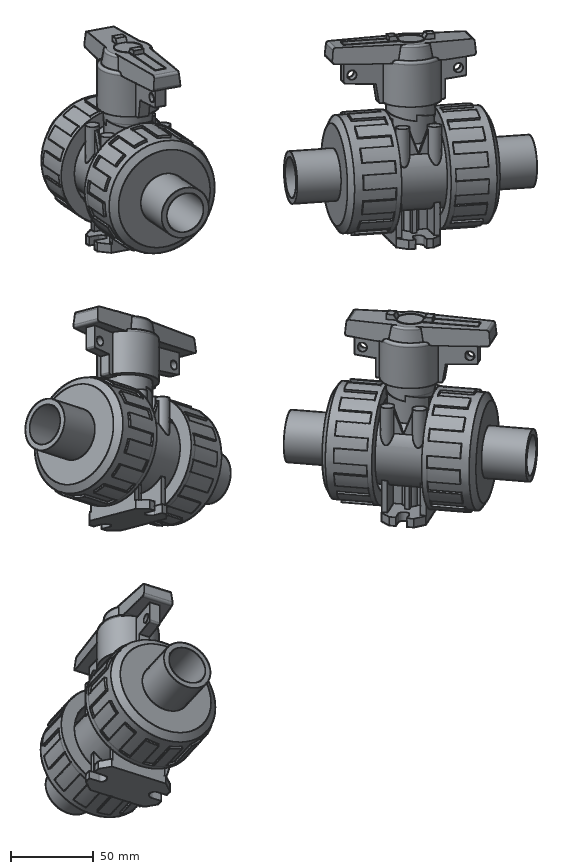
import cadquery as cq
import math


pipe_length = 151.0
pipe_radius = 16.2
bore_radius = 12.5

body_radius = 24.8
post_diameter = 8.6
post_spacing = 20.1
post_y = 19.2
post_top = 32.0
web_outer_y = 20.0
web_thickness = 2.1
notch_bottom = 14.5
notch_slope = 2.6

nut_inner_x = 15.5
nut_collar_x = 18.7
nut_grip_x = 39.4
nut_bevel_x = 44.8
nut_outer_x = 48.0
nut_radius = 37.8
groove_depth = 1.5
tooth_root_depth = 3.0
nut_face_radius = 31.4
nut_recess_radius = 28.7
nut_recess_depth = 24.2
tooth_count = 14
tooth_angle = 14.0
first_tooth_angle = 5.9

neck_radius = 14.8
neck_width = 26.1
collar_radius = 15.0
collar_bottom = 34.1
ramp_top = 37.9
collar_top = 57.4

hub_radius = 18.9
hub_bottom = 44.2
hub_top = 72.8
hub_round = 1.8
slot_width = 8.3
bar_bottom = 70.8
bar_end_bottom = 72.0
bar_top = 82.1
bar_left_x = -39.0
bar_right_x = 52.0
bar_middle_width = 26.6
bar_left_width = 20.4
bar_right_width = 18.9
bar_taper = 5.5
bar_end_round = 1.8
dome_bottom_radius = 16.3
dome_top_radius = 14.6
dome_round = 1.7
mark_height = 0.38
disc_diameter = 17.4
pointer_end_x = 43.0
pointer_width = 7.4
tab_span = 28.8
tab_inner_top_x = 9.7
tab_inner_base_x = 7.7
tab_top = 85.5

fin_width = 7.0
fin_left_x = -34.3
fin_right_x = 42.9
fin_end_z = 57.7
fin_left_step = (-21.0, 56.3)
fin_right_step = (22.6, 56.0)
fin_foot_right_x = 20.7
fin_bottom = 43.8
fin_round = 1.2
fin_hole_radius = 2.9
fin_hole_z = 62.8
fin_hole_xs = (-29.3, 37.8)

foot_bottom = -43.5
foot_top = -37.8
foot_half_x = 13.9
foot_half_y = 24.9
foot_chamfer = 6.2
foot_slot_radius = 3.5
foot_slot_y = 18.4
leg_thickness = 3.6
leg_half_y = 18.0
rib_thickness = 3.0
rib_half_y = 9.4
pillar_diameter = 9.8


def cylinder_x(radius, x_start, x_end):
    return cq.Workplane("YZ", origin=(x_start, 0, 0)).circle(radius).extrude(x_end - x_start)


def cylinder_z(radius, z_start, z_end):
    return cq.Workplane("XY", origin=(0, 0, z_start)).circle(radius).extrude(z_end - z_start)


def block(x_range, y_range, z_range):
    """Box between the given limits on each axis."""
    ranges = (x_range, y_range, z_range)
    sizes = [high - low for low, high in ranges]
    return cq.Workplane("XY").box(*sizes, centered=False).translate(tuple(low for low, high in ranges))


def plate_xz(points, width):
    """Plate with an XZ outline, centred on Y = 0."""
    return cq.Workplane("XZ").polyline(points).close().extrude(width / 2, both=True)


def make_nut():
    """Union nut on the +X side, with raised grip teeth and a recess around the body."""
    nut_groove_radius = nut_radius - groove_depth
    profile = [
        (nut_outer_x, 0),
        (nut_outer_x, nut_face_radius),
        (nut_bevel_x, nut_groove_radius),
        (nut_collar_x, nut_groove_radius),
        (nut_collar_x, nut_radius),
        (nut_inner_x, nut_radius),
        (nut_inner_x, 0),
    ]
    nut = cq.Workplane("XY").polyline(profile).close().revolve(360, (0, 0, 0), (1, 0, 0))

    def at(radius, angle):
        return (radius * math.cos(math.radians(angle)), radius * math.sin(math.radians(angle)))

    root_radius = nut_radius - tooth_root_depth
    half = tooth_angle / 2
    tooth = (
        cq.Workplane("YZ", origin=(nut_collar_x, 0, 0))
        .moveTo(*at(root_radius, -half))
        .lineTo(*at(nut_radius, -half))
        .threePointArc((nut_radius, 0), at(nut_radius, half))
        .lineTo(*at(root_radius, half))
        .close()
        .extrude(nut_grip_x - nut_collar_x)
    )
    for i in range(tooth_count):
        angle = first_tooth_angle + i * 360 / tooth_count
        nut = nut.union(tooth.rotate((0, 0, 0), (1, 0, 0), angle))
    recess = cylinder_x(nut_recess_radius, nut_inner_x, nut_inner_x + nut_recess_depth)
    return nut.cut(recess)


def make_posts():
    """Four posts on the body, each Y pair joined by a thin web with a V notch."""
    posts = (
        cq.Workplane("XY")
        .rect(post_spacing, 2 * post_y, forConstruction=True)
        .vertices()
        .circle(post_diameter / 2)
        .extrude(post_top)
    )
    web_inner_y = web_outer_y - web_thickness
    notch_half = (post_top - notch_bottom) / notch_slope
    notch = plate_xz(
        [(0, notch_bottom), (notch_half, post_top), (-notch_half, post_top)],
        3 * web_outer_y,
    )
    for y_range in ((web_inner_y, web_outer_y), (-web_outer_y, -web_inner_y)):
        web = block((-post_spacing / 2, post_spacing / 2), y_range, (0, post_top))
        posts = posts.union(web.cut(notch))
    return posts


def make_stem():
    neck = cylinder_z(neck_radius, 0, ramp_top)
    flats = block((-neck_width / 2, neck_width / 2), (-neck_radius, neck_radius), (0, collar_bottom))
    neck = neck.intersect(flats.union(cylinder_z(neck_radius, collar_bottom, ramp_top)))
    stem = neck.union(cylinder_z(collar_radius, ramp_top, collar_top))

    chord = collar_radius * math.sqrt(2)
    plane = cq.Plane(origin=(collar_radius, 0, 0), xDir=(-1, 1, 0), normal=(1, 1, 0))
    wedge = (
        cq.Workplane(plane)
        .polyline([(0, ramp_top), (chord, ramp_top), (chord, collar_bottom)])
        .close()
        .extrude(collar_radius, both=True)
    )
    quarter = block((0, collar_radius), (0, collar_radius), (collar_bottom, ramp_top))
    ramp = cylinder_z(collar_radius, collar_bottom, ramp_top).intersect(quarter).intersect(wedge)
    for i in range(4):
        stem = stem.union(ramp.rotate((0, 0, 0), (0, 0, 1), 90 * i))
    return stem


def make_fin():
    """Flat fin below the bar, stepped down beside the hub and pierced at both ends."""
    left_end = (fin_left_x, fin_end_z)
    right_end = (fin_right_x, fin_end_z)
    left_foot = (fin_left_step[0], fin_bottom)
    right_foot = (fin_foot_right_x, fin_bottom)
    outline = [
        (fin_left_x, bar_end_bottom),
        left_end,
        fin_left_step,
        left_foot,
        right_foot,
        fin_right_step,
        right_end,
        (fin_right_x, bar_end_bottom),
    ]
    fin = plate_xz(outline, fin_width)
    for x, z in (left_end, left_foot, right_foot, right_end):
        fin = fin.edges(cq.selectors.NearestToPointSelector((x, 0, z))).fillet(fin_round)
    holes = (
        cq.Workplane("XZ")
        .pushPoints([(x, fin_hole_z) for x in fin_hole_xs])
        .circle(fin_hole_radius)
        .extrude(fin_width, both=True)
    )
    return fin.cut(holes)


def make_bar():
    """Tapered grip bar whose underside rises slightly towards both ends."""
    half_outline = [
        (bar_left_x, bar_left_width / 2),
        (0, bar_middle_width / 2),
        (bar_right_x, bar_right_width / 2),
    ]
    outline = half_outline + [(x, -y) for x, y in reversed(half_outline)]
    bar = (
        cq.Workplane("XY", origin=(0, 0, bar_bottom))
        .polyline(outline)
        .close()
        .extrude(bar_top - bar_bottom, taper=bar_taper)
    )
    for end_x, root_x in ((bar_left_x, -hub_radius), (bar_right_x, hub_radius)):
        relief = [(end_x, bar_bottom), (root_x, bar_bottom), (end_x, bar_end_bottom)]
        bar = bar.cut(plate_xz(relief, 2 * bar_middle_width))
    bar = bar.faces(">Z").edges("|Y").fillet(bar_end_round)
    for end_x in (bar_left_x, bar_right_x):
        bottom_edge = cq.selectors.NearestToPointSelector((end_x, 0, bar_end_bottom))
        bar = bar.edges(bottom_edge).fillet(bar_end_round)
    return bar


def make_handle():
    hub = cylinder_z(hub_radius, hub_bottom, hub_top).faces(">Z").edges().fillet(hub_round)
    slot = block(
        (-hub_radius, hub_radius),
        (-slot_width / 2, slot_width / 2),
        (hub_bottom, bar_end_bottom),
    )
    dome_height = bar_top - hub_top
    dome_taper = math.degrees(math.atan((dome_bottom_radius - dome_top_radius) / dome_height))
    dome = (
        cq.Workplane("XY", origin=(0, 0, hub_top))
        .circle(dome_bottom_radius)
        .extrude(dome_height, taper=dome_taper)
        .faces(">Z")
        .edges()
        .fillet(dome_round)
    )
    handle = hub.cut(slot).union(dome).union(make_bar()).union(make_fin())

    mark_top = bar_top + mark_height
    disc = cylinder_z(disc_diameter / 2, bar_top, mark_top)
    pointer = block((0, pointer_end_x), (-pointer_width / 2, pointer_width / 2), (bar_top, mark_top))
    tab = plate_xz(
        [
            (tab_span / 2, bar_top),
            (tab_span / 2, tab_top),
            (tab_inner_top_x, tab_top),
            (tab_inner_base_x, bar_top),
        ],
        fin_width,
    )
    return handle.union(disc).union(pointer).union(tab).union(tab.mirror("YZ"))


def make_base():
    """Slotted foot carried by two legs, a central pillar and crossed ribs."""
    base = (
        cq.Workplane("XY", origin=(0, 0, foot_bottom))
        .rect(2 * foot_half_x, 2 * foot_half_y)
        .extrude(foot_top - foot_bottom)
        .edges("|Z")
        .chamfer(foot_chamfer)
    )
    slot_length = 2 * (foot_half_y - foot_slot_y + foot_slot_radius)
    slots = (
        cq.Workplane("XY", origin=(0, 0, foot_bottom))
        .pushPoints([(0, foot_half_y), (0, -foot_half_y)])
        .slot2D(slot_length, 2 * foot_slot_radius, 90)
        .extrude(foot_top - foot_bottom)
    )
    base = base.cut(slots)

    height = (foot_bottom, 0)
    leg_inner_x = foot_half_x - leg_thickness
    for x_range in ((leg_inner_x, foot_half_x), (-foot_half_x, -leg_inner_x)):
        base = base.union(block(x_range, (-leg_half_y, leg_half_y), height))
    rib = (-rib_thickness / 2, rib_thickness / 2)
    base = base.union(block((-foot_half_x, foot_half_x), rib, height))
    base = base.union(block(rib, (-rib_half_y, rib_half_y), height))
    return base.union(cylinder_z(pillar_diameter / 2, *height))


pipe_end = pipe_length / 2
nut = make_nut()

result = cylinder_x(body_radius, -nut_outer_x, nut_outer_x)
result = result.union(cylinder_x(pipe_radius, -pipe_end, pipe_end))
result = result.union(nut).union(nut.rotate((0, 0, 0), (0, 0, 1), 180))
result = result.union(make_posts()).union(make_base()).union(make_stem())
result = result.cut(cylinder_x(bore_radius, -pipe_end, pipe_end))
result = result.union(make_handle())